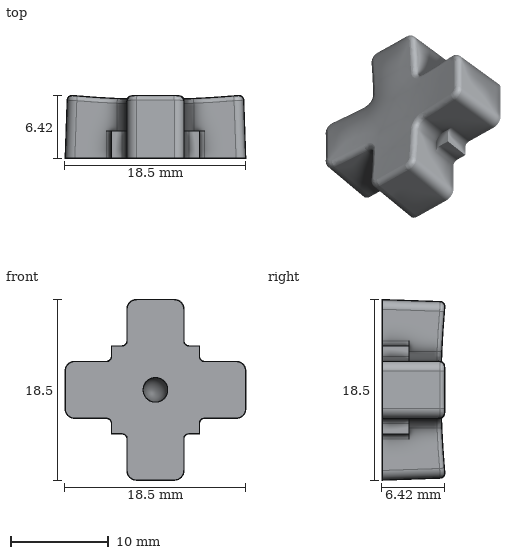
import cadquery as cq
import math

span = 18.5
arm_width = 5.85
tip_draft = 2.0
corner_radius = 1.0

dish_radius = 92.5
dish_floor = 6.01
rim_radius = 0.5

shoulder_width = 9.03
shoulder_height = 2.78
shoulder_radius = corner_radius / 2
shoulder_reach = shoulder_width + 4 * shoulder_radius

seat_radius = 1.25
seat_wall = 0.28

dish_allowance = 0.92
blank_height = dish_floor + dish_allowance


def make_bar():
    """Straight bar along X with drafted ends, on the underside plane."""
    half_base = span / 2
    half_top = half_base - blank_height * math.tan(math.radians(tip_draft))
    profile = [
        (-half_base, 0),
        (half_base, 0),
        (half_top, blank_height),
        (-half_top, blank_height),
    ]
    bar = cq.Workplane("XY").polyline(profile).close().extrude(arm_width / 2, both=True)
    tip_corners = bar.faces("<X or >X").edges("<Z or >Z")
    return tip_corners.fillet(corner_radius)


def make_cross():
    """Two bars at right angles, with rounded inner corners."""
    bar = make_bar()
    cross = bar.union(bar.rotate((0, 0, 0), (0, 1, 0), 90))
    reach = arm_width / 2 + corner_radius
    inner_corners = cq.selectors.BoxSelector((-reach, 0, -reach), (reach, blank_height, reach))
    return cross.edges("|Y").edges(inner_corners).fillet(corner_radius)


def cut_dish(cross):
    """Hollow the thumb face with a large sphere and round its rim."""
    sphere = cq.Workplane("XY").sphere(dish_radius).translate((0, dish_floor + dish_radius, 0))
    dished = cross.cut(sphere)
    thumb_face = dished.faces("%SPHERE")
    return thumb_face.edges().fillet(rim_radius)


def make_shoulders():
    """Square step that meets each arm side in a small rounded root."""
    square = cq.Workplane("XZ").rect(shoulder_width, shoulder_width).extrude(-shoulder_height)
    along_x = cq.Workplane("XZ").rect(shoulder_reach, arm_width).extrude(-shoulder_height)
    along_z = cq.Workplane("XZ").rect(arm_width, shoulder_reach).extrude(-shoulder_height)
    step = square.union(along_x).union(along_z)
    half_arm = arm_width / 2
    half_square = shoulder_width / 2
    for side_x in (-1, 1):
        for side_z in (-1, 1):
            for root_x, root_z in ((half_arm, half_square), (half_square, half_arm)):
                root_middle = (side_x * root_x, shoulder_height / 2, side_z * root_z)
                root_edge = cq.selectors.NearestToPointSelector(root_middle)
                step = step.edges("|Y").edges(root_edge).fillet(shoulder_radius)
    return step


def make_seat():
    """Short cylinder with a hemispherical end, sunk into the middle of the underside."""
    wall = cq.Workplane("XZ").circle(seat_radius).extrude(-seat_wall)
    bottom = cq.Workplane("XY").sphere(seat_radius).translate((0, seat_wall, 0))
    return wall.union(bottom)


pad = cut_dish(make_cross())
result = pad.union(make_shoulders()).cut(make_seat())